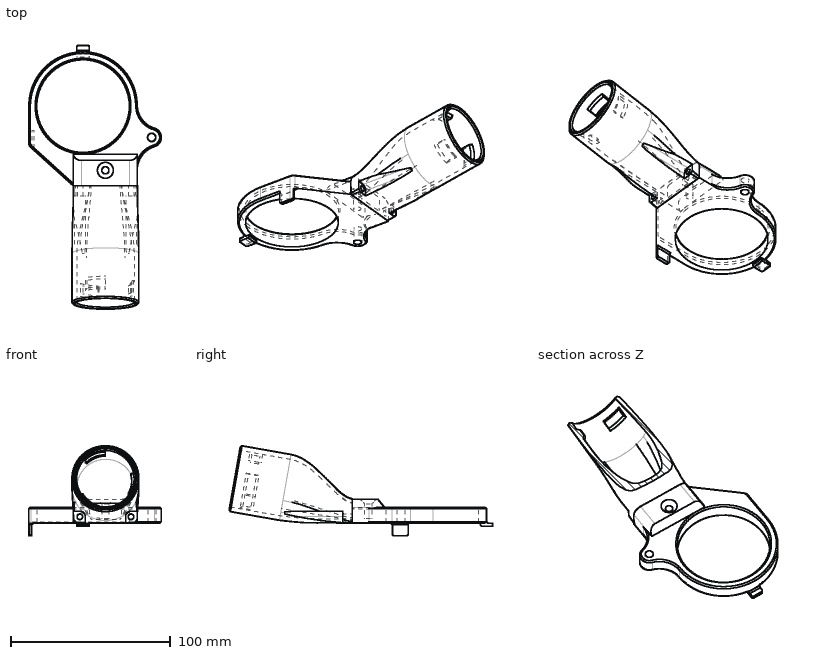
import cadquery as cq
import math

RING_BORE_R = 29.0
RING_R = 34.0
PLATE_H = 10.0
EDGE_CHAMFER = 1.0
JOINT_Y = -50.0

SELECT_MARGIN = 1.0

FLANK_CORNER_Y = -24.65
FLANK_CORNER_R = 4.0

NECK_W = 40.0
NECK_H = 15.0
NECK_X = RING_R - NECK_W / 2
NECK_ROUND = 5.0
NECK_FRONT_Y = -30.0
NECK_SLOPE_RUN = 4.0

LUG_X = 43.0
LUG_Y = -19.6
LUG_R = 6.0
LUG_HOLE_D = 5.0
LUG_BLEND_R = 15.0

ROOF_HOLE_Y = -40.2
ROOF_HOLE_D = 4.5
ROOF_HOLE_DEPTH = 12.0
ROOF_SINK_D = 10.0
ROOF_SINK_ANGLE = 90.0

LEG_T = 2.0
LEG_DROP = 8.0
LEG_START_Y = -15.0
LEG_W = 10.0
LEG_CHAMFER = 0.8

TAB_W = 8.0
TAB_T = 2.0
TAB_END_Y = 38.0
TAB_CORNER_R = 1.0

SOCKET_R = 21.0
SOCKET_BORE_R = 18.0
SOCKET_L = 32.0
SOCKET_TILT = 10.0
SOCKET_END_Y = -123.73
SOCKET_END_Z = 28.0
RIM_OUTER_CHAMFER = 1.0
RIM_INNER_CHAMFER = 1.0
SECTION_COUNT = 7
RISE_POWER = 0.82
LOWER_CORNER = 1.0
TOE_INNER_ANGLE = -48.0
TOE_OUTER_ANGLE = -23.0

PASSAGE_HALF_W = 10.0
PASSAGE_WALL = 2.5
PASSAGE_CORNER_R = 2.0

RIDGE_COUNT = 3
RIDGE_SPAN = 45.0
RIDGE_START = 90.0
RIDGE_H = 1.5
RIDGE_FOOT_DEPTH = 6.4
RIDGE_L = 8.1

POCKET_W = 7.3
POCKET_FLOOR_Z = -1.0
POCKET_TOP_Z = 7.4
POCKET_ROUND = 3.0
POCKET_FACE_Y = -56.0
SCREW_OFFSET_X = 16.0
SCREW_Z = 4.0
SCREW_HOLE_D = 3.5

TILT = math.radians(SOCKET_TILT)
SOCKET_START_Y = SOCKET_END_Y + SOCKET_L * math.cos(TILT)
SOCKET_START_Z = SOCKET_END_Z - SOCKET_L * math.sin(TILT)


def box(x0, x1, y0, y1, z0, z1):
    return cq.Workplane("XY").box(x1 - x0, y1 - y0, z1 - z0, centered=False).translate((x0, y0, z0))


def plate_outline():
    """Ring outline with its flank and the lug, closed along the joint with the duct."""
    lug_distance = math.hypot(LUG_X, LUG_Y)
    ring_side = RING_R + LUG_BLEND_R
    lug_side = LUG_R + LUG_BLEND_R
    opening = math.acos((ring_side**2 + lug_distance**2 - lug_side**2) / (2 * ring_side * lug_distance))
    blend_angle = math.atan2(LUG_Y, LUG_X) + opening
    upper = cq.Vector(ring_side * math.cos(blend_angle), ring_side * math.sin(blend_angle))
    lower_x = RING_R + LUG_BLEND_R
    lower = cq.Vector(lower_x, LUG_Y - math.sqrt(lug_side**2 - (lower_x - LUG_X) ** 2))
    lug = cq.Vector(LUG_X, LUG_Y)

    def toward(centre, target, radius):
        return centre + (target - centre).normalized() * radius

    ring_touch = upper * (RING_R / ring_side)
    lug_touch_upper = toward(lug, upper, LUG_R)
    lug_touch_lower = toward(lug, lower, LUG_R)
    neck_touch = cq.Vector(RING_R, lower.y)
    upper_mid = toward(upper, (ring_touch + lug_touch_upper) / 2, LUG_BLEND_R)
    lower_mid = toward(lower, (neck_touch + lug_touch_lower) / 2, LUG_BLEND_R)
    lug_tip = cq.Vector(LUG_X + LUG_R, LUG_Y)

    def flat(point):
        return (point.x, point.y)

    return (
        cq.Workplane("XY")
        .moveTo(-RING_R, 0)
        .threePointArc((0, RING_R), flat(ring_touch))
        .threePointArc(flat(upper_mid), flat(lug_touch_upper))
        .threePointArc(flat(lug_tip), flat(lug_touch_lower))
        .threePointArc(flat(lower_mid), flat(neck_touch))
        .lineTo(RING_R, JOINT_Y)
        .lineTo(RING_R - NECK_W, JOINT_Y)
        .lineTo(-RING_R, FLANK_CORNER_Y)
        .close()
    )


def plate_blank(height):
    blank = plate_outline().extrude(height)
    corner = cq.selectors.NearestToPointSelector((-RING_R, FLANK_CORNER_Y, height / 2))
    return blank.edges(corner).fillet(FLANK_CORNER_R)


def neck_block():
    half = NECK_W / 2
    block = (
        cq.Workplane("XY")
        .box(NECK_W, NECK_FRONT_Y - JOINT_Y, NECK_H, centered=(True, False, False))
        .translate((NECK_X, JOINT_Y, 0))
        .edges("|Y and >Z")
        .fillet(NECK_ROUND)
    )
    slope = (
        cq.Workplane("YZ")
        .polyline([
            (NECK_FRONT_Y, PLATE_H),
            (NECK_FRONT_Y, NECK_H),
            (NECK_FRONT_Y - NECK_SLOPE_RUN, NECK_H),
        ])
        .close()
        .extrude(half, both=True)
        .translate((NECK_X, 0, 0))
    )
    return block.cut(slope)


def leg():
    x_inner = -RING_R + LEG_T
    y_end = LEG_START_Y - LEG_W
    blank = box(-RING_R, x_inner, y_end, LEG_START_Y, -LEG_DROP, PLATE_H - EDGE_CHAMFER)
    blank = blank.edges("|X and <Z").chamfer(LEG_CHAMFER)
    outline = plate_blank(PLATE_H + LEG_DROP).translate((0, 0, -LEG_DROP))
    return blank.intersect(outline)


def tab():
    """Thin tongue under the ring with sloping webs at the ring's chamfered rims."""
    inner_y = RING_BORE_R + EDGE_CHAMFER
    return (
        cq.Workplane("YZ")
        .polyline([
            (TAB_END_Y, -TAB_T),
            (TAB_END_Y, 0),
            (RING_R + EDGE_CHAMFER, 0),
            (RING_R, EDGE_CHAMFER),
            (inner_y, EDGE_CHAMFER),
            (inner_y, -TAB_T / 2),
            (inner_y + TAB_T / 2, -TAB_T),
        ])
        .close()
        .extrude(TAB_W / 2, both=True)
        .edges("|Z and >Y")
        .fillet(TAB_CORNER_R)
    )


def plate():
    """Ring plate with chamfered rims; the undersides of the diagonal flank and the bore stay sharp."""
    at_joint = cq.selectors.BoxSelector(
        (-RING_R, JOINT_Y - SELECT_MARGIN, -SELECT_MARGIN),
        (LUG_X, JOINT_Y + SELECT_MARGIN, PLATE_H + SELECT_MARGIN),
    )
    rims = cq.selectors.StringSyntaxSelector(">Z or <Z")
    body = plate_blank(PLATE_H).edges(rims - at_joint).chamfer(EDGE_CHAMFER)
    flank = box(-RING_R, RING_R - NECK_W, JOINT_Y, LEG_START_Y, 0, EDGE_CHAMFER)
    body = body.union(flank.intersect(plate_blank(PLATE_H)))
    bore_rim = cq.selectors.NearestToPointSelector((0, 0, PLATE_H))
    return body.cut(ring_bore()).edges(bore_rim).chamfer(EDGE_CHAMFER)


def ring_bore():
    return cq.Workplane("XY").circle(RING_BORE_R).extrude(PLATE_H)


def make_bracket():
    neck = neck_block().cut(ring_bore())
    body = plate().union(neck).union(leg())
    leg_root = cq.selectors.BoxSelector(
        (-RING_R + LEG_T / 2, LEG_START_Y - LEG_W - SELECT_MARGIN, -EDGE_CHAMFER / 2),
        (-RING_R + LEG_T + SELECT_MARGIN, LEG_START_Y - SELECT_MARGIN, EDGE_CHAMFER / 2),
    )
    body = body.edges(leg_root).chamfer(EDGE_CHAMFER)
    body = body.union(tab())
    body = body.cut(cq.Workplane("XY").center(LUG_X, LUG_Y).circle(LUG_HOLE_D / 2).extrude(PLATE_H))
    sink_depth = (ROOF_SINK_D - ROOF_HOLE_D) / 2 / math.tan(math.radians(ROOF_SINK_ANGLE / 2))
    hole = cq.Workplane("XY", origin=(NECK_X, ROOF_HOLE_Y, NECK_H - ROOF_HOLE_DEPTH)).circle(ROOF_HOLE_D / 2)
    sink = cq.Solid.makeCone(
        ROOF_SINK_D / 2, ROOF_HOLE_D / 2, sink_depth,
        cq.Vector(NECK_X, ROOF_HOLE_Y, NECK_H), cq.Vector(0, 0, -1),
    )
    return body.cut(hole.extrude(ROOF_HOLE_DEPTH)).cut(cq.Workplane(sink))


def transition(half_w, z_low, z_high, round_r, circle_r):
    """Loft from a rectangle with rounded upper corners to the tilted socket circle."""
    half_h = (z_high - z_low) / 2
    z_mid = (z_high + z_low) / 2
    shoulder = half_h - round_r
    flat_end = half_w - round_r
    diagonal = round_r * math.sqrt(0.5)
    toe_z = LOWER_CORNER - half_h
    toe_x = half_w - LOWER_CORNER
    right = [
        ((0, -half_h), -90),
        ((toe_x, -half_h), TOE_INNER_ANGLE),
        ((half_w, toe_z), TOE_OUTER_ANGLE),
        ((half_w, (shoulder + toe_z) / 2), -5),
        ((half_w, shoulder), 15),
        ((flat_end + diagonal, shoulder + diagonal), 35),
        ((flat_end, half_h), 55),
        ((flat_end / 2, half_h), 72),
        ((0, half_h), 90),
    ]
    wires = []
    for step in range(SECTION_COUNT):
        t = step / (SECTION_COUNT - 1)
        rise = t**RISE_POWER
        blend = rise * rise * (3 - 2 * rise)
        half = []
        for (x, z), angle in right:
            circle_x = circle_r * math.cos(math.radians(angle))
            circle_z = circle_r * math.sin(math.radians(angle))
            half.append((x + (circle_x - x) * blend, z + (circle_z - z) * blend))
        mirrored = [(-x, z) for x, z in half]
        run = SOCKET_START_Y - JOINT_Y
        end_slope = -run * math.tan(TILT)
        centre_z = z_mid + (SOCKET_START_Z - z_mid) * blend + end_slope * (t**3 - t**2)
        tilt = TILT * blend
        plane = cq.Plane(
            origin=(NECK_X, JOINT_Y + run * t, centre_z),
            xDir=(1, 0, 0),
            normal=(0, -math.cos(tilt), math.sin(tilt)),
        )
        section = cq.Workplane(plane).moveTo(*mirrored[1])
        if step < SECTION_COUNT - 1:
            section = section.spline(half[:2], includeCurrent=True).lineTo(*half[2])
            section = section.spline(half[3:] + mirrored[-2:1:-1], includeCurrent=True).close()
        else:
            bevel_middle = math.radians((TOE_INNER_ANGLE + TOE_OUTER_ANGLE) / 2)
            bevel_x = circle_r * math.cos(bevel_middle)
            bevel_z = circle_r * math.sin(bevel_middle)
            section = section.threePointArc(half[0], half[1])
            section = section.threePointArc((bevel_x, bevel_z), half[2])
            section = section.threePointArc(half[-1], mirrored[2])
            section = section.threePointArc((-bevel_x, bevel_z), mirrored[1])
        wires.append(section.wire().val())
    return cq.Workplane(cq.Solid.makeLoft(wires))


def socket_plane(depth):
    """Plane across the socket axis, `depth` inside the open end, facing out of the socket."""
    return cq.Plane(
        origin=(NECK_X, SOCKET_END_Y + depth * math.cos(TILT), SOCKET_END_Z - depth * math.sin(TILT)),
        xDir=(1, 0, 0),
        normal=(0, -math.cos(TILT), math.sin(TILT)),
    )


def socket_cylinder(radius):
    return cq.Workplane(socket_plane(SOCKET_L)).circle(radius).extrude(SOCKET_L)


def bayonet_ridges():
    """Ramped ridges swept part of the way round the bore."""
    root = SOCKET_BORE_R + RIDGE_H / 2
    crest = SOCKET_BORE_R - RIDGE_H
    front = -RIDGE_FOOT_DEPTH
    back = front - RIDGE_L
    mouth = socket_plane(0)
    ridges = []
    for index in range(RIDGE_COUNT):
        angle = math.radians(RIDGE_START + index * 360 / RIDGE_COUNT)
        outward = mouth.xDir * math.cos(angle) + mouth.yDir * math.sin(angle)
        radial = cq.Plane(origin=mouth.origin, xDir=outward, normal=outward.cross(mouth.zDir))
        ridges.append(
            cq.Workplane(radial)
            .polyline([
                (root, front),
                (SOCKET_BORE_R, front),
                (crest, front - RIDGE_H),
                (crest, back + RIDGE_H),
                (SOCKET_BORE_R, back),
                (root, back),
            ])
            .close()
            .revolve(RIDGE_SPAN, (0, 0), (0, 1))
        )
    return ridges


def screw_pocket(side):
    """Driver access to one screw, with a rounded upper inner corner."""
    centre = NECK_X + side * NECK_W / 2
    pocket = box(
        centre - POCKET_W, centre + POCKET_W,
        SOCKET_START_Y, POCKET_FACE_Y, POCKET_FLOOR_Z, POCKET_TOP_Z,
    )
    return pocket.edges("|Y and >Z").fillet(POCKET_ROUND)


def screw_hole(side):
    return (
        cq.Workplane("XZ", origin=(NECK_X + side * SCREW_OFFSET_X, JOINT_Y, SCREW_Z))
        .circle(SCREW_HOLE_D / 2)
        .extrude(JOINT_Y - POCKET_FACE_Y)
    )


def make_duct():
    mouth = socket_plane(0)
    open_end = cq.selectors.DirectionMinMaxSelector(mouth.zDir)
    socket = socket_cylinder(SOCKET_R).faces(open_end).chamfer(RIM_OUTER_CHAMFER)
    shell = transition(NECK_W / 2, 0, NECK_H, NECK_ROUND, SOCKET_R)
    for side in (-1, 1):
        shell = shell.cut(screw_pocket(side)).cut(screw_hole(side))
    body = shell.union(socket)
    passage = transition(
        PASSAGE_HALF_W, PASSAGE_WALL, NECK_H - PASSAGE_WALL, PASSAGE_CORNER_R, SOCKET_BORE_R
    )
    body = body.cut(passage).cut(socket_cylinder(SOCKET_BORE_R))
    rim = cq.Solid.makeCone(
        SOCKET_BORE_R + RIM_INNER_CHAMFER, SOCKET_BORE_R, RIM_INNER_CHAMFER,
        mouth.origin, mouth.zDir * -1,
    )
    body = body.cut(cq.Workplane(rim))
    for ridge in bayonet_ridges():
        body = body.union(ridge)
    return body


bracket = make_bracket()
duct = make_duct()
result = cq.Compound.makeCompound([bracket.val(), duct.val()])